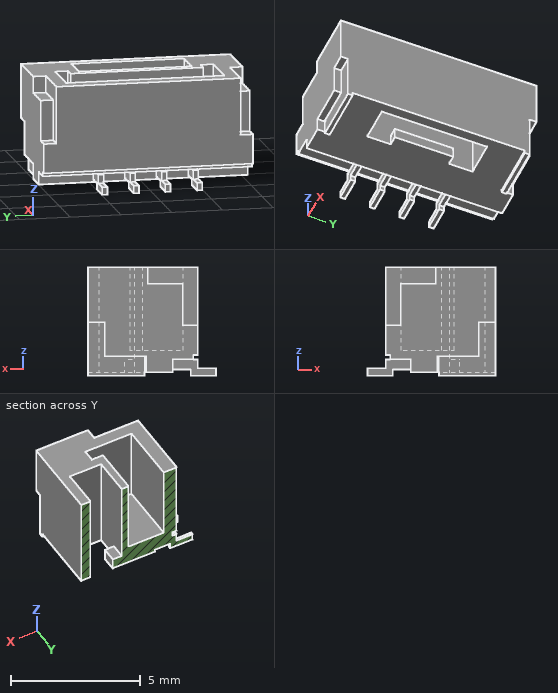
import cadquery as cq

width = 8.25
depth = 4.25
top_z = 4.2
bottom_z = 0.14

front_lip_z = 0.8
relief_roof_z = 0.64
lip_depth = 0.18
relief_depth = 0.965

notch_width = 0.495
notch_front_depth = 0.585
notch_top_depth = 1.95
notch_bottom_z = 1.955
notch_step_z = 3.55

pocket_x = 0.585
pocket_depth = 1.56
pocket_width = 6.24
pocket_floor_z = 0.99
ear_depth = 0.49
ear_width = 0.5

window_x = 2.45
window_depth = 1.39
window_width = 4.44
ledge_depth = 0.4
ledge_width = 2.46
ledge_height = 0.495

recess_width = 0.495
recess_x = 2.005
recess_arm_x = 3.605
recess_roof_z = 0.75
recess_top_z = 2.06
tab_thickness = 0.2
tab_gap = 0.05

leg_count = 4
leg_pitch = 1.245
leg_width = 0.21
leg_reach = 0.7
foot_height = 0.3
foot_heel_x = 0.29
leg_underside_z = 0.24


def side_plate(points, center_y, thickness):
    """Extrude an XZ outline symmetrically about the given Y position."""
    plane = cq.Workplane("XZ", origin=(0, center_y, 0))
    return plane.polyline(points).close().extrude(thickness / 2, both=True)


def block(x, z, size_x, size_y, size_z):
    """Box centred in Y, starting at the given X and Z."""
    return cq.Workplane("XY").box(size_x, size_y, size_z, centered=(False, True, False)).translate((x, 0, z))


def make_housing():
    profile = [
        (0, top_z),
        (depth, top_z),
        (depth, bottom_z),
        (relief_depth, bottom_z),
        (relief_depth, relief_roof_z),
        (lip_depth, relief_roof_z),
        (lip_depth, front_lip_z),
        (0, front_lip_z),
    ]
    return side_plate(profile, 0, width)


def make_corner_notch(side):
    outline = [
        (0, top_z),
        (notch_top_depth, top_z),
        (notch_top_depth, notch_step_z),
        (notch_front_depth, notch_step_z),
        (notch_front_depth, notch_bottom_z),
        (0, notch_bottom_z),
    ]
    return side_plate(outline, side * (width - notch_width) / 2, notch_width)


def make_pocket():
    height = top_z - pocket_floor_z
    pocket = block(pocket_x, pocket_floor_z, pocket_depth, pocket_width, height)
    ears = block(pocket_x + pocket_depth, pocket_floor_z, ear_depth, pocket_width, height)
    between_ears = block(
        pocket_x + pocket_depth, pocket_floor_z, ear_depth, pocket_width - 2 * ear_width, height
    )
    return pocket.union(ears.cut(between_ears))


def tab_outline(start_x, foot_z):
    return [
        (start_x, foot_z),
        (depth, foot_z),
        (depth, recess_top_z),
        (recess_arm_x, recess_top_z),
        (recess_arm_x, recess_roof_z),
        (start_x, recess_roof_z),
    ]


def make_side_recess(side):
    return side_plate(tab_outline(recess_x, bottom_z), side * (width - recess_width) / 2, recess_width)


def make_solder_tab(side):
    center_y = side * (width / 2 - recess_width + tab_thickness / 2)
    return side_plate(tab_outline(recess_x + tab_gap, 0), center_y, tab_thickness)


def make_leg(center_y):
    outline = [
        (-leg_reach, 0),
        (foot_heel_x, 0),
        (foot_heel_x, leg_underside_z),
        (relief_depth, leg_underside_z),
        (relief_depth, relief_roof_z),
        (0, relief_roof_z),
        (0, foot_height),
        (-leg_reach, foot_height),
    ]
    return side_plate(outline, center_y, leg_width)


result = make_housing().cut(make_pocket())
result = result.cut(block(window_x, bottom_z, window_depth, window_width, top_z - bottom_z))
result = result.union(block(window_x, bottom_z, ledge_depth, ledge_width, ledge_height))

for side in (-1, 1):
    result = result.cut(make_corner_notch(side))
    result = result.cut(make_side_recess(side))
    result = result.union(make_solder_tab(side))

for index in range(leg_count):
    result = result.union(make_leg((index - (leg_count - 1) / 2) * leg_pitch))